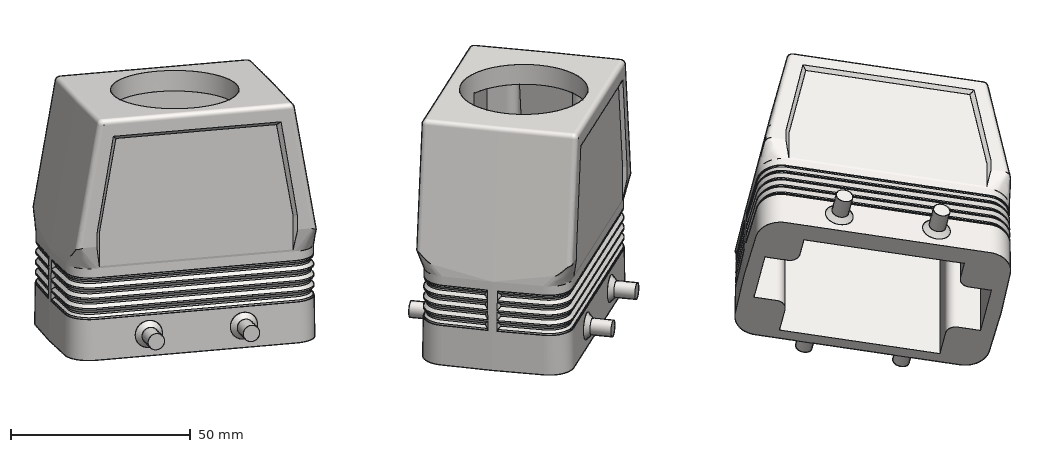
import cadquery as cq
import math

height = 70.0
skirt_half_x = 21.6
skirt_half_y = 36.5
overall_x = 58.0

skirt_height = 26.65
skirt_draft = math.tan(math.radians(0.7))
skirt_peak = math.tan(math.radians(1.5))
skirt_corner = 7.0

hood_half_x = 22.4
hood_end_slope = math.tan(math.radians(10))
hood_peak = math.tan(math.radians(0.6))
hood_round = 1.45
flare_height = 6.65
flare_end_slope = 0.09
flare_top = skirt_height + flare_height

groove_count = 4
groove_pitch = 3.0
first_groove_z = 13.4
groove_depth = 0.9
groove_flank = 1.0
groove_floor = 0.5
land_depth = 0.2
land_overrun = 0.255
bar_half_width = 1.1

panel_depth = 1.0
panel_bevel = 1.0
panel_top_z = 65.2
panel_knee_z = 37.0
panel_half_top = 24.3
panel_half_knee = 29.1

pin_radius = 4.75 / 2
pin_root_radius = 3.95
pin_root_x = 23.0
pin_z = 6.35
pin_spacing = 27.6

entry_radius = 17.9
entry_depth = 20.0
roof = 6.0
end_wall = 4.0
cavity_min_x = -18.55
cavity_max_x = 16.2
post_inner_x = 7.75
post_inner_y = 22.8
post_round = 2.9


def peaked_section(half_x, half_y, peak, z, corner=0):
    """Horizontal rectangle whose two end sides rise to a peak at x = 0."""
    side_y = half_y - peak * half_x
    section = cq.Sketch().polygon([
        (-half_x, -side_y), (0, -half_y), (half_x, -side_y),
        (half_x, side_y), (0, half_y), (-half_x, side_y), (-half_x, -side_y),
    ])
    if corner:
        section = section.vertices("<X or >X").fillet(corner)
    return section.moved(cq.Location(cq.Vector(0, 0, z)))


def skirt_section(z, inset=0):
    """Section of the drafted skirt at height z, optionally set in from its wall."""
    shrink = skirt_draft * z + inset
    return peaked_section(skirt_half_x - shrink, skirt_half_y - shrink, skirt_peak, z, skirt_corner - inset)


def hood_half_y(z):
    """Half length of the hood on its mid line at height z."""
    return skirt_half_y - skirt_draft * skirt_height - hood_end_slope * (z - skirt_height)


def ruled_loft(*sections):
    return cq.Workplane("XY").placeSketch(*sections).loft(ruled=True)


def layer(bottom, top):
    """Block between two heights, large enough to enclose the skirt and hood."""
    size_x = 2 * (hood_half_x + groove_depth)
    size_y = 2 * (skirt_half_y + groove_depth)
    slab = cq.Workplane("XY", origin=(0, 0, bottom))
    return slab.rect(size_x, size_y).extrude(top - bottom)


def make_hood():
    hood = ruled_loft(
        peaked_section(hood_half_x, hood_half_y(skirt_height), hood_peak, skirt_height),
        peaked_section(hood_half_x, hood_half_y(height), hood_peak, height),
    )
    corners = hood.edges("not(#Z)").edges("<X or >X").vals()
    rim = hood.faces(">Z").edges().vals()
    hood = hood.newObject(corners + rim).fillet(hood_round)

    flare_top_y = hood_half_y(skirt_height) - flare_end_slope * flare_height
    flare = ruled_loft(
        skirt_section(skirt_height),
        peaked_section(hood_half_x, flare_top_y, skirt_peak, flare_top, hood_round),
    )
    upper = hood.intersect(layer(flare_top, height))
    return hood.intersect(flare).union(upper)


def make_groove(z, ends_below, ends_above):
    """Ring cutter for one groove; a land is added where the grip ends."""
    half_floor = groove_floor / 2
    half_mouth = half_floor + groove_flank
    half_land = half_mouth - groove_flank * land_depth / groove_depth
    half_end = half_mouth + land_overrun
    land = [(half_end, land_depth), (half_land, land_depth)]
    mouth = [(half_mouth, 0)]
    lower = (land if ends_below else mouth) + [(half_floor, groove_depth)]
    upper = (land if ends_above else mouth) + [(half_floor, groove_depth)]
    profile = [(z - offset, inset) for offset, inset in lower]
    profile += [(z + offset, inset) for offset, inset in reversed(upper)]
    core = ruled_loft(*[skirt_section(level, inset) for level, inset in profile])
    return layer(profile[0][0], profile[-1][0]).cut(core)


def make_bar(side):
    """Ungrooved bar of an end wall; its 45 degree flanks widen it inwards."""
    root_y = skirt_half_y / 2
    root_half_width = bar_half_width + skirt_half_y - root_y
    return cq.Workplane("XY").polyline([
        (-root_half_width, side * root_y), (root_half_width, side * root_y),
        (bar_half_width, side * skirt_half_y), (-bar_half_width, side * skirt_half_y),
    ]).close().extrude(skirt_height)


def panel_outline(inset):
    half_knee = panel_half_knee - inset
    half_top = panel_half_top - inset
    top_z = panel_top_z - inset
    return [
        (-half_knee, skirt_height), (-half_knee, panel_knee_z), (-half_top, top_z),
        (half_top, top_z), (half_knee, panel_knee_z), (half_knee, skirt_height),
    ]


def make_panel(side):
    mouth = cq.Workplane("YZ", origin=(side * hood_half_x, 0, 0)).polyline(panel_outline(0)).close()
    floor = mouth.workplane(offset=-side * panel_depth).polyline(panel_outline(panel_bevel)).close()
    return floor.loft(ruled=True)


def make_pin_pair(y):
    """Pins on both long sides, sharing one axis."""
    wall_x = skirt_half_x - skirt_draft * pin_z
    pin = cq.Workplane("XY").polyline([
        (0, 0), (0, pin_root_radius), (wall_x, pin_root_radius),
        (pin_root_x, pin_radius), (overall_x / 2, pin_radius), (overall_x / 2, 0),
    ]).close().revolve(360, (0, 0), (1, 0))
    return pin.union(pin.mirror("YZ")).translate((0, y, pin_z))


def make_post():
    """Corner post of the inner space, in the +X +Y corner."""
    post = cq.Workplane("XY").box(hood_half_x, skirt_half_y, height, centered=False)
    return post.edges("<X and <Y").fillet(post_round).translate((post_inner_x, post_inner_y, 0))


def make_cavity():
    """Inner space, open at the base, with a post left standing in each corner."""
    ceiling = height - roof
    base_y = hood_half_y(skirt_height) - end_wall
    ceiling_y = hood_half_y(ceiling) - end_wall
    cavity = cq.Workplane("YZ", origin=(cavity_min_x, 0, 0)).polyline([
        (-base_y, 0), (base_y, 0), (base_y, skirt_height),
        (ceiling_y, ceiling), (-ceiling_y, ceiling), (-base_y, skirt_height),
    ]).close().extrude(cavity_max_x - cavity_min_x)
    post = make_post()
    for end_post in (post, post.mirror("XZ")):
        cavity = cavity.cut(end_post).cut(end_post.mirror("YZ"))
    return cavity


def make_entry():
    """Round cable entry; it also scallops the thicker +X wall."""
    floor = cq.Workplane("XY", origin=(0, 0, height - entry_depth))
    return floor.circle(entry_radius).extrude(entry_depth)


result = ruled_loft(skirt_section(0), skirt_section(skirt_height)).union(make_hood())

for index in range(groove_count):
    groove = make_groove(
        first_groove_z + index * groove_pitch,
        ends_below=index == 0,
        ends_above=index == groove_count - 1,
    )
    result = result.cut(groove.cut(make_bar(1)).cut(make_bar(-1)))

for side in (1, -1):
    result = result.cut(make_panel(side))
    result = result.union(make_pin_pair(side * pin_spacing / 2))

result = result.cut(make_cavity()).cut(make_entry())